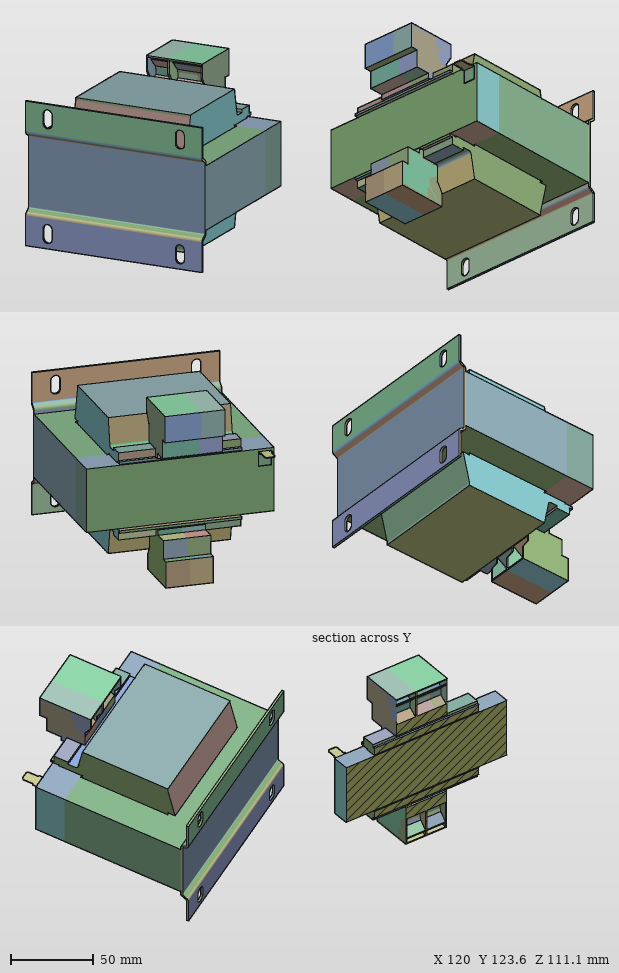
import cadquery as cq
import math


width = 120.0
depth = 123.6
height = 111.1

sheet = 1.5
joggle = 4.0
joggle_angle = 57.0
joggle_z = 24.6
bend_radius = 0.9
foot_z = 46.0
slot_width = 6.0
slot_length = 12.0
slot_x = 45.0
slot_z = 36.5

core_z = 20.5
core_front = joggle + sheet
core_back = 105.8
window_front = 25.3
window_back = 85.5
window_x = 40.2
center_leg_x = 19.9

bobbin_x = 39.1
winding_front = 25.8
winding_back = 84.9
winding_z = 44.0
front_slope_z = 42.3
flange_front = 20.8
flange_z = 20.9
shelf_z = 26.2
shelf_step_y = 101.4
shelf_step_z = 21.5
slope_back_y = 88.4
slope_back_radius = 1.9
rail_front = 95.0
rail_back = 104.7
rail_z = 28.2
lip_back = 106.9
lip_z = 23.1

terminal_pitch = 15.0
terminal_wall = 1.0
insert_end = 14.5
double_width = 23.4
upper_start_x = -22.7
lower_start_x = -15.3
skin = 1.0
pocket_ceiling_z = 54.5
pocket_back_y = 101.1
housing_front = 88.3
waist_front = 92.3
clip_back = 108.7
waist_back = 118.7
bevel_top_z = 46.0
bevel_foot_z = 39.7
shoulder_z = 38.6
belly_z = 26.6
insert_notch_y = 106.2
insert_notch_z = 29.5
insert_step_y = 109.0
insert_step_z = 54.0

arm_root_top = (99.6, 46.6)
arm_tip_top = (93.2, 52.4)
arm_tip_bottom = (92.3, 52.2)
arm_root_bottom = (98.5, 46.1)
arm_shoulder_z = 48.7
throat_y = 99.1
throat_top_z = 44.0
throat_foot_z = 40.5
ramp_foot_z = 36.0

tab_sheet = 0.6
tab_x = -54.0
tab_z = 18.3
tab_back = 117.0
tab_blade_width = 6.5
tab_base_width = 8.2
tab_base_back = 109.0
tab_foot_z = 9.6
tab_corner = 1.0


def prism(points, x_start, x_end):
    """Extrude a (Y, Z) outline from x_start to x_end."""
    outline = cq.Workplane("YZ").workplane(offset=x_start).polyline(points).close()
    return outline.extrude(x_end - x_start)


def block(x_start, x_end, y_start, y_end, z_start, z_end):
    size = (x_end - x_start, y_end - y_start, z_end - z_start)
    return cq.Workplane("XY").box(*size, centered=False).translate((x_start, y_start, z_start))


def join(base, added):
    """Fuse two bodies and keep the seams between their flush faces."""
    return base.union(added, clean=False)


def make_bracket():
    angle = math.radians(joggle_angle)
    half_rise = joggle / math.tan(angle) / 2
    miter = sheet / 2 * math.tan(angle / 2)
    inner_bend_z = joggle_z - half_rise
    outer_bend_z = joggle_z + half_rise
    front_edge = [
        (joggle, inner_bend_z - miter),
        (0, outer_bend_z - miter),
        (0, foot_z),
    ]
    back_edge = [
        (sheet, foot_z),
        (sheet, outer_bend_z + miter),
        (joggle + sheet, inner_bend_z + miter),
    ]
    upper = front_edge + back_edge
    lower = [(y, -z) for y, z in reversed(upper)]
    bracket = prism(upper + lower, -width / 2, width / 2)

    inside = [back_edge[1], front_edge[0]]
    outside = [front_edge[1], back_edge[2]]
    for corners, radius in ((inside, bend_radius), (outside, bend_radius + sheet)):
        for y, z in corners:
            for side in (1, -1):
                edge = cq.selectors.NearestToPointSelector((0, y, side * z))
                bracket = bracket.edges("|X").edges(edge).fillet(radius)

    slots = (
        cq.Workplane("XZ")
        .rect(2 * slot_x, 2 * slot_z, forConstruction=True)
        .vertices()
        .slot2D(slot_length, slot_width, 90)
        .extrude(-sheet)
    )
    return bracket.cut(slots)


def make_core():
    half = width / 2
    e_core = block(-half, half, core_front, window_back, -core_z, core_z)
    for side in (1, -1):
        near, far = sorted((side * center_leg_x, side * window_x))
        window = block(near, far, window_front, window_back, -core_z, core_z)
        e_core = e_core.cut(window)
    i_core = block(-half, half, window_back, core_back, -core_z, core_z)
    return join(e_core, i_core)


def make_bobbin():
    upper = [
        (flange_front, flange_z),
        (winding_front, front_slope_z),
        (winding_front, winding_z),
        (winding_back, winding_z),
        (slope_back_y, shelf_z),
        (rail_front, shelf_z),
        (rail_front, rail_z),
        (rail_back, rail_z),
        (rail_back, lip_z),
        (lip_back, lip_z),
        (lip_back, shelf_step_z),
        (shelf_step_y, shelf_step_z),
        (shelf_step_y, flange_z),
    ]
    foot_edge = cq.selectors.NearestToPointSelector((0, slope_back_y, shelf_z))
    cheek = prism(upper, -bobbin_x, bobbin_x).edges("|X").edges(foot_edge).fillet(slope_back_radius)
    winding = block(-bobbin_x, bobbin_x, winding_front, winding_back, -flange_z, flange_z)
    return winding.union(cheek).union(cheek.mirror("XY"))


insert_front = [
    (pocket_back_y, pocket_ceiling_z),
    (pocket_back_y, arm_shoulder_z),
    arm_root_top,
    arm_tip_top,
    arm_tip_bottom,
    arm_root_bottom,
    (throat_y, throat_top_z),
    (throat_y, throat_foot_z),
    (waist_front, ramp_foot_z),
]


def make_terminal(start_x, housing_width, insert_width):
    """One upper terminal: a housing, open to the front, with an insert flush in its -X side."""
    housing_outline = [
        (depth, height / 2),
        (housing_front, height / 2),
        (housing_front, bevel_top_z),
        (waist_front, bevel_foot_z),
        (waist_front, rail_z),
        (rail_back, rail_z),
        (rail_back, lip_z),
        (clip_back, lip_z),
        (clip_back, belly_z),
        (waist_back, belly_z),
        (waist_back, shoulder_z),
        (depth, shoulder_z),
    ]
    insert_outline = insert_front + [
        (waist_front, insert_notch_z),
        (insert_notch_y, insert_notch_z),
        (insert_notch_y, belly_z + skin),
        (waist_back - skin, belly_z + skin),
        (waist_back - skin, shoulder_z + skin),
        (depth - skin, shoulder_z + skin),
        (depth - skin, insert_step_z),
        (insert_step_y, insert_step_z),
        (insert_step_y, pocket_ceiling_z),
    ]
    mouth = [(housing_front, ramp_foot_z), (housing_front, pocket_ceiling_z)]
    pocket = prism(insert_front + mouth, start_x + terminal_wall, start_x + insert_width)
    housing = prism(housing_outline, start_x, start_x + housing_width).cut(pocket)
    insert = prism(insert_outline, start_x, start_x + insert_width)
    terminal = join(housing, insert)
    if insert_width > insert_end:
        divider_x = start_x + insert_end
        divider = prism(insert_outline, divider_x, divider_x + terminal_wall)
        terminal = join(terminal, divider)
    return terminal


def make_terminals():
    end_width = insert_end + terminal_wall
    upper = [
        make_terminal(upper_start_x, terminal_pitch, insert_end),
        make_terminal(upper_start_x + terminal_pitch, double_width, double_width - terminal_wall),
    ]
    lower = [
        make_terminal(lower_start_x, terminal_pitch, insert_end).mirror("XY"),
        make_terminal(lower_start_x + terminal_pitch, end_width, insert_end).mirror("XY"),
    ]
    return upper + lower


def make_earth_tab():
    base_half = tab_base_width / 2
    blade_half = tab_blade_width / 2
    foot_back = core_back + tab_sheet
    tab_top = tab_z + tab_sheet
    foot = block(tab_x - base_half, tab_x + base_half, core_back, foot_back, tab_foot_z, tab_top)
    base = block(tab_x - base_half, tab_x + base_half, core_back, tab_base_back, tab_z, tab_top)
    blade = block(tab_x - blade_half, tab_x + blade_half, core_back, tab_back, tab_z, tab_top)
    blade = blade.edges("|Z and >Y").chamfer(tab_corner)
    return foot.union(base).union(blade)


result = make_core()
for body in [make_bracket(), make_bobbin(), make_earth_tab()] + make_terminals():
    result = join(result, body)